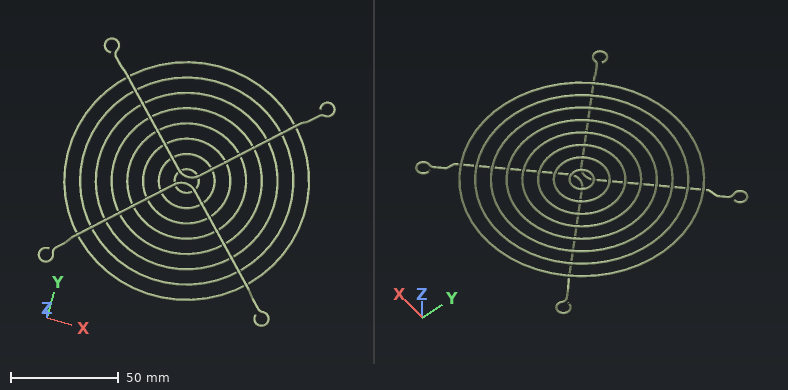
import cadquery as cq
import math


wire_diameter = 1.8
wire_radius = wire_diameter / 2
overall_height = 5.66

ring_count = 8
guard_diameter = 115.6
largest_ring_radius = guard_diameter / 2 - wire_radius
ring_pitch = 7.32

spoke_z = wire_diameter
eye_drop = overall_height - wire_diameter
eye_z = spoke_z - eye_drop

spoke_angle = 45.0
spoke_offset = 1.27
center_bend_half_width = 4.95
step_x = 42.8
step_angle = 45.0
step_bend_radius = 1.0

eye_center = 52.4
eye_radius = 3.3
neck_radius = 2.9
left_eye_end_angle = 260.0
right_eye_end_angle = 190.0
left_tail_length = 1.5
right_tail_length = 0.9

DOWN = cq.Vector(0, 0, -1)


def direction(angle):
    """Horizontal unit vector at an angle in degrees from +X."""
    return cq.Vector(math.cos(math.radians(angle)), math.sin(math.radians(angle)), 0)


def flat_arc(center, radius, start_angle, end_angle):
    """Start, middle and end points of a horizontal arc."""
    middle_angle = (start_angle + end_angle) / 2
    return [center + direction(angle) * radius for angle in (start_angle, middle_angle, end_angle)]


def step_bend(corner, before, after):
    """Start, middle and end points of the bend that rounds a corner of the step."""
    half_turn = math.radians(step_angle / 2)
    setback = step_bend_radius * math.tan(half_turn)
    corner_to_arc = step_bend_radius * (1 / math.cos(half_turn) - 1)
    inward = (after - before).normalized()
    return corner - before * setback, corner + inward * corner_to_arc, corner + after * setback


def spoke_point(side, x):
    return cq.Vector(side * x, x - spoke_offset, spoke_z)


def arm_edges(side, eye_end_angle, tail_length):
    """Centre line from the middle bend to the free end; side is +1 toward +X and -1 toward -X."""
    heading = spoke_angle if side > 0 else 180 - spoke_angle
    outward = direction(heading)
    rightward = direction(heading - 90)

    slope = outward * math.cos(math.radians(step_angle)) + DOWN * math.sin(math.radians(step_angle))
    top_corner = spoke_point(side, step_x)
    low_corner = top_corner + outward * (eye_drop / math.tan(math.radians(step_angle))) + DOWN * eye_drop
    top_bend = step_bend(top_corner, outward, slope)
    low_bend = step_bend(low_corner, slope, outward)

    center = cq.Vector(side * eye_center, eye_center, eye_z)
    center_along = (center - low_corner).dot(outward)
    center_right = (center - low_corner).dot(rightward)
    neck_lateral = neck_radius - center_right
    neck_reach = math.sqrt((eye_radius + neck_radius) ** 2 - neck_lateral**2)
    neck_turn = math.degrees(math.atan2(neck_reach, neck_lateral))
    neck_start = low_corner + outward * (center_along - neck_reach)
    neck_center = neck_start + rightward * neck_radius
    neck = flat_arc(neck_center, neck_radius, heading + 90, heading + 90 - neck_turn)

    eye = flat_arc(center, eye_radius, heading - neck_turn - 90, eye_end_angle)
    tail_end = eye[-1] + direction(eye_end_angle + 90) * tail_length

    return [
        cq.Edge.makeLine(spoke_point(side, center_bend_half_width), top_bend[0]),
        cq.Edge.makeThreePointArc(*top_bend),
        cq.Edge.makeLine(top_bend[-1], low_bend[0]),
        cq.Edge.makeThreePointArc(*low_bend),
        cq.Edge.makeLine(low_bend[-1], neck_start),
        cq.Edge.makeThreePointArc(*neck),
        cq.Edge.makeThreePointArc(*eye),
        cq.Edge.makeLine(eye[-1], tail_end),
    ]


def middle_bend_edge():
    """Rounded middle of a support wire, tangent to both spokes."""
    bend_radius = center_bend_half_width / math.sin(math.radians(spoke_angle))
    sag = bend_radius * (1 - math.cos(math.radians(spoke_angle)))
    left_end = spoke_point(-1, center_bend_half_width)
    right_end = spoke_point(1, center_bend_half_width)
    lowest = cq.Vector(0, left_end.y - sag, spoke_z)
    return cq.Edge.makeThreePointArc(left_end, lowest, right_end)


def make_support_wire():
    """The support wire on the +Y half of the guard."""
    left_arm = arm_edges(-1, left_eye_end_angle, left_tail_length)
    right_arm = arm_edges(1, right_eye_end_angle, right_tail_length)
    path = cq.Wire.assembleEdges(left_arm[::-1] + [middle_bend_edge()] + right_arm)
    left_tail = left_arm[-1]
    end_plane = cq.Plane(origin=left_tail.endPoint(), xDir=(0, 0, 1), normal=left_tail.tangentAt(1))
    return cq.Workplane(end_plane).circle(wire_radius).sweep(cq.Workplane(path))


def make_ring(radius):
    return cq.Workplane(cq.Solid.makeTorus(radius, wire_radius))


rings = [make_ring(largest_ring_radius - index * ring_pitch) for index in range(ring_count)]
upper_support_wire = make_support_wire()
lower_support_wire = upper_support_wire.mirror("XZ")

result = cq.Compound.makeCompound(
    [
        upper_support_wire.val(),
        lower_support_wire.val(),
        *[ring.val() for ring in rings],
    ]
)